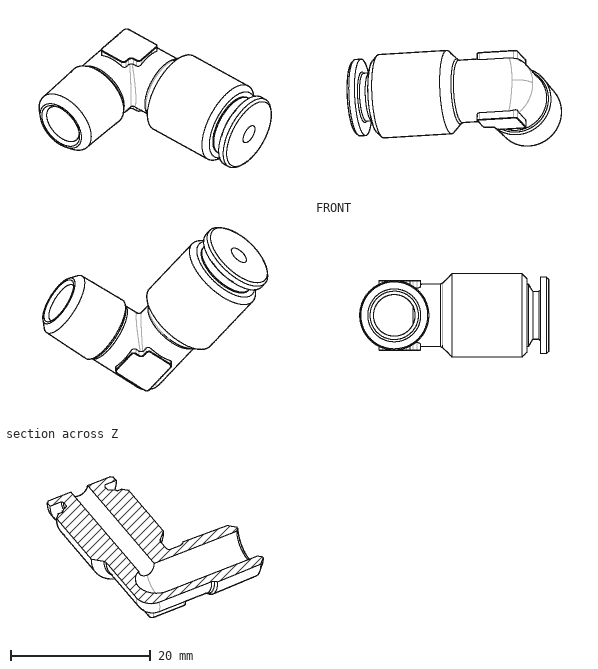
import cadquery as cq


overall_length = 27.1
overall_width = 21.5
body_diameter = 12.0
thread_large_radius = 4.95

elbow_radius = 4.5
outer_bend_radius = 2.45
inner_bend_radius = 0.5

pad_half_height = 5.0
pad_back = 2.2
pad_front = 3.77
pad_notch = 1.55
pad_corner_radius = 0.5
pad_edge_chamfer = 0.08

body_radius = body_diameter / 2
body_foot_start = 6.6
body_foot_end = 6.94
body_foot_radius = 4.65
body_end = 19.05
body_end_chamfer = 0.75

sleeve_collar_radius = 4.47
sleeve_collar_end = 19.23
sleeve_neck_radius = 3.45
sleeve_neck_start = 19.85
sleeve_neck_end = 20.7
flange_start = 20.95
flange_foot_radius = 3.63
flange_radius = 5.5
flange_end = overall_length - thread_large_radius
flange_chamfer = 0.35

thread_foot_start = 6.55
thread_foot_end = 6.94
thread_foot_radius = 4.65
thread_start = 7.25
thread_small_radius = 4.8
thread_end = overall_width - body_radius
thread_end_chamfer = 1.0

thread_bore_radius = 2.98
thread_bore_chamfer = 0.5
tube_bore_radius = 1.35


def make_elbow():
    """Two equal cylinders meeting in a sharp mitre."""
    path = (
        cq.Workplane("XY")
        .moveTo(body_foot_start, 0)
        .lineTo(0, 0)
        .lineTo(0, -thread_foot_start)
    )
    start = cq.Workplane("YZ", origin=(body_foot_start, 0, 0))
    return start.circle(elbow_radius).sweep(path, transition="right")


def make_pads():
    """One notched block through the elbow that forms both pads."""
    notch_corner = pad_front - pad_notch
    outline = [
        (-pad_back, pad_back),
        (pad_front, pad_back),
        (pad_front, -notch_corner),
        (notch_corner, -notch_corner),
        (notch_corner, -pad_front),
        (-pad_back, -pad_front),
    ]
    block = cq.Workplane("XY").polyline(outline).close().extrude(pad_half_height, both=True)
    block = block.edges("|Z").fillet(pad_corner_radius)
    return block.faces("|Z").edges().chamfer(pad_edge_chamfer)


def round_bend(solid):
    """Round the outer and the inner mitre edge of the elbow."""
    outer_point = (-elbow_radius, elbow_radius, 0)
    inner_point = (elbow_radius, -elbow_radius, 0)
    solid = solid.edges(cq.NearestToPointSelector(outer_point)).fillet(outer_bend_radius)
    return solid.edges(cq.NearestToPointSelector(inner_point)).fillet(inner_bend_radius)


def make_tube_leg():
    """Body and release sleeve, turned about the X axis."""
    cone_rise = body_radius - body_foot_radius
    profile = [
        (body_foot_start, 0),
        (body_foot_start, elbow_radius),
        (body_foot_end, body_foot_radius),
        (body_foot_end + cone_rise, body_radius),
        (body_end - body_end_chamfer, body_radius),
        (body_end, body_radius - body_end_chamfer),
        (body_end, sleeve_collar_radius),
        (sleeve_collar_end, sleeve_collar_radius),
        (sleeve_neck_start, sleeve_neck_radius),
        (sleeve_neck_end, sleeve_neck_radius),
        (flange_start, flange_foot_radius),
        (flange_start, flange_radius),
        (flange_end - flange_chamfer, flange_radius),
        (flange_end, flange_radius - flange_chamfer),
        (flange_end, 0),
    ]
    return cq.Workplane("XY").polyline(profile).close().revolve(360, (0, 0, 0), (1, 0, 0))


def make_thread_leg():
    """Tapered thread blank, turned about the Y axis."""
    profile = [
        (0, -thread_foot_start),
        (elbow_radius, -thread_foot_start),
        (thread_foot_radius, -thread_foot_end),
        (thread_large_radius, -thread_start),
        (thread_small_radius, -(thread_end - thread_end_chamfer)),
        (thread_small_radius - thread_end_chamfer, -thread_end),
        (0, -thread_end),
    ]
    return cq.Workplane("XY").polyline(profile).close().revolve(360, (0, 0, 0), (0, 1, 0))


def make_bores():
    """Round-ended bore in the threaded leg, joined by a narrower bore in the tube leg."""
    mouth_radius = thread_bore_radius + thread_bore_chamfer
    thread_bore = (
        cq.Workplane("XY")
        .moveTo(0, -thread_end)
        .lineTo(mouth_radius, -thread_end)
        .lineTo(thread_bore_radius, -(thread_end - thread_bore_chamfer))
        .lineTo(thread_bore_radius, 0)
        .radiusArc((0, thread_bore_radius), -thread_bore_radius)
        .close()
        .revolve(360, (0, 0, 0), (0, 1, 0))
    )
    tube_bore = cq.Workplane("YZ").circle(tube_bore_radius).extrude(flange_end)
    return thread_bore.union(tube_bore)


elbow = round_bend(make_elbow().union(make_pads()))
result = elbow.union(make_tube_leg()).union(make_thread_leg()).cut(make_bores())